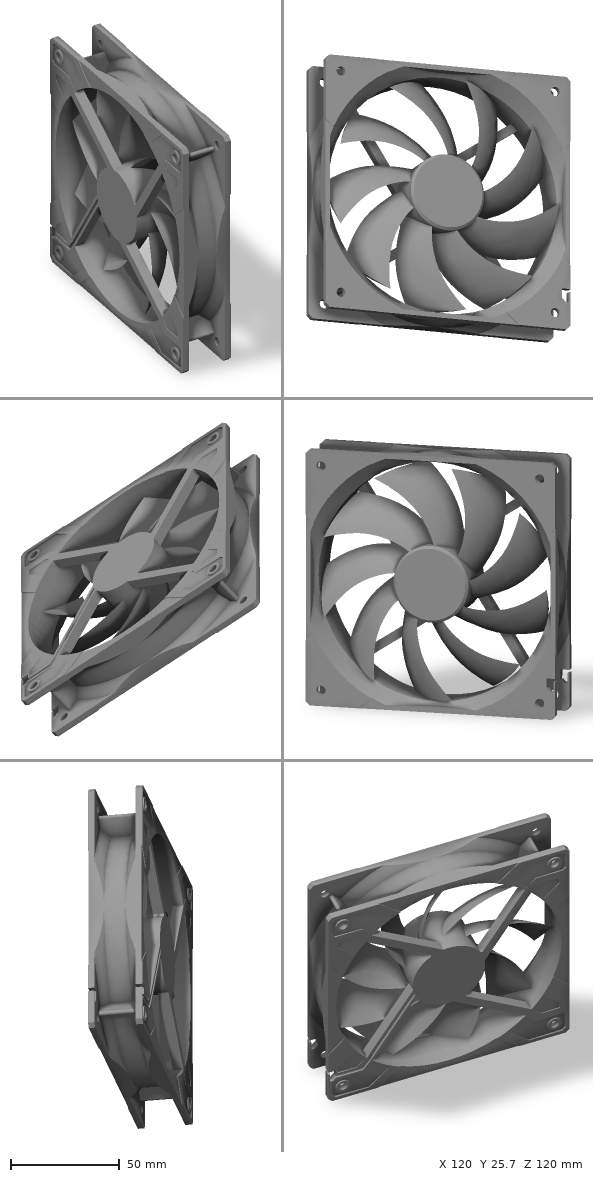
import cadquery as cq
import math

side = 120.0
half = side / 2
depth = 25.7
front = -depth / 2
rotor_back = depth / 2
frame_back = 12.6
corner_chamfer = 1.9
flange_inner = 9.6
band_radius = half
band_half_width = 5.0
collar_radius = 64.3

bore_radius = 56.0
flare_radius = 61.9
flare_flat = 57.7

diagonal_angle = 135
web_width = 2.2
web_length = 17.2
web_tip_radius = 69.5
hole_offset = 52.5
hole_radius = 2.2
boss_radius = 3.6

side_relief_depth = 0.4
top_relief_rim = (-34.8, half)
top_relief_bore = (-24.1, 50.6)
left_relief_rim = (-half, 29.4)
left_relief_bore = (-52.0, 21.6)

panel_slope = 0.04
panel_edge = 58.1
panel_corner_chamfer = 1.7
panel_lower_edge = 46.8
panel_lower_chamfer = 1.5
panel_top_bend_x = -39.7
panel_lower_bend_x = -43.1
panel_bore_points = [(-28.2, 47.5), (-36.7, 40.5)]
small_panel_outline = [(-55.1, 42.7), (-45.8, 42.7), (-39.2, 36.4), (-45.8, 30.7), (-55.1, 39.1)]

hub_radius = 18.0
stator_thickness = 5.0
stator_back = front + stator_thickness
spoke_width = 4.2
spoke_fillet = 1.0
first_spoke_angle = 57.0
spoke_offsets = [11.3, 11.3, 11.3, 11.8]
cable_spoke = 2

notch_floor_x = -55.8
notch_top = -40.7
notch_mouth = -42.1
notch_bottom = -46.9
notch_chamfer = 1.8
lip_thickness = 0.8
groove_width = 1.5
groove_depth = 1.2
groove_z = -44.8
groove_bend_x = -43.1
groove_offset = 11.2

rotor_chamfer = 1.2
blade_count = 9
blade_tip_radius = 55.2
blade_front = -5.3
blade_back = 10.2
front_face_bulge = 1.2
back_face_bulge = 2.6
blade_stations = [
    (16.2, 14.0, -26.0),
    (19.2, 7.0, -28.5),
    (24.0, -3.0, -33.0),
    (31.2, -12.5, -39.5),
    (38.4, -20.3, -45.8),
    (45.6, -27.7, -52.3),
    (52.8, -34.4, -58.3),
    (57.6, -38.7, -62.5),
]


def plane_at(y):
    """A sketch plane square to the fan axis, drawn in X and Z."""
    return cq.Workplane("XZ", origin=(0, y, 0))


def prism(points, y_from, y_to):
    """A polygon in X and Z, extruded along Y."""
    return plane_at(y_from).polyline(points).close().extrude(y_from - y_to)


def disc(radius, y_from, y_to, x=0, z=0):
    """A cylinder along Y."""
    return plane_at(y_from).center(x, z).circle(radius).extrude(y_from - y_to)


def turned(profile):
    """A profile of radius and Y, revolved about the fan axis."""
    return cq.Workplane("XY").polyline(profile).close().revolve(360, (0, 0, 0), (0, 1, 0))


def spun(shape, angle):
    """The shape turned about the fan axis, from +X towards +Z."""
    return shape.rotate((0, 0, 0), (0, 1, 0), -angle)


def on_corners(shape):
    """The shape and its mirror images in all four corners."""
    pair = shape.union(shape.mirror("YZ"))
    return pair.union(pair.mirror("XY"))


def square_block(y_from, y_to):
    block = plane_at(y_from).rect(side, side).extrude(y_from - y_to)
    return block.edges("|Y").chamfer(corner_chamfer)




def housing():
    duct = turned([
        (0, -flange_inner),
        (collar_radius, -flange_inner),
        (band_radius, -band_half_width),
        (band_radius, band_half_width),
        (collar_radius, flange_inner),
        (0, flange_inner),
    ])
    body = duct.intersect(square_block(-flange_inner, flange_inner))
    body = body.union(square_block(front, -flange_inner))
    return body.union(square_block(flange_inner, frame_back))


def corner_webs():
    """Round-ended walls between the flanges, along the diagonals."""
    web = (
        plane_at(-flange_inner)
        .center(web_tip_radius + web_width / 2 - web_length / 2, 0)
        .slot2D(web_length, web_width)
        .extrude(-2 * flange_inner)
    )
    return on_corners(spun(web, diagonal_angle))


def bore():
    flare = turned([
        (0, band_half_width),
        (bore_radius, band_half_width),
        (flare_radius, frame_back),
        (0, frame_back),
    ])
    flats = plane_at(0).rect(2 * flare_flat, 2 * flare_flat).extrude(-frame_back)
    return disc(bore_radius, front, frame_back).union(flare.intersect(flats))


def side_reliefs(y_from, y_to):
    """Shallow steps in the middle of the four sides."""

    def mirrored_x(point):
        return (-point[0], point[1])

    def mirrored_z(point):
        return (point[0], -point[1])

    top = prism(
        [top_relief_rim, mirrored_x(top_relief_rim), mirrored_x(top_relief_bore), top_relief_bore],
        y_from, y_to)
    left = prism(
        [left_relief_rim, mirrored_z(left_relief_rim), mirrored_z(left_relief_bore), left_relief_bore],
        y_from, y_to)
    return top.union(top.mirror("XY")).union(left).union(left.mirror("YZ"))


def corner_panels():
    """Panels in the front face, sunk along a cone about the fan axis; the screw bosses stay full height."""
    outline = [
        (-panel_edge + panel_corner_chamfer, panel_edge),
        (panel_top_bend_x, panel_edge),
        *panel_bore_points,
        (panel_lower_bend_x, panel_lower_edge),
        (-panel_edge + panel_lower_chamfer, panel_lower_edge),
        (-panel_edge, panel_lower_edge + panel_lower_chamfer),
        (-panel_edge, panel_edge - panel_corner_chamfer),
    ]
    panels = prism(outline, front, 0).union(prism(small_panel_outline, front, 0))
    boss = disc(boss_radius, front, 0, -hole_offset, hole_offset)
    cone_depth = panel_slope * (side - bore_radius)
    cone = turned([(bore_radius, front), (side, front), (side, front + cone_depth)])
    return on_corners(panels.cut(boss)).intersect(cone)


def screw_holes():
    return on_corners(disc(hole_radius, front, frame_back, -hole_offset, hole_offset))


def stator():
    """The disc that carries the motor, with spokes and a fillet in each sharp corner beside them."""
    body = disc(hub_radius, front, stator_back)
    sharp_corners = []
    for index, offset in enumerate(spoke_offsets):
        angle = first_spoke_angle + 90 * index
        near_edge = -offset + spoke_width / 2
        far_edge = -offset - spoke_width / 2
        length = math.sqrt(bore_radius**2 - near_edge**2)
        outline = [(0, far_edge), (length, far_edge), (length, near_edge), (0, near_edge)]
        spoke = prism(outline, front, stator_back)
        body = body.union(spun(spoke, angle))
        corner = cq.Vertex.makeVertex(
            math.sqrt(hub_radius**2 - near_edge**2), (front + stator_back) / 2, near_edge)
        sharp_corners.append(spun(corner, angle))
    for corner in sharp_corners:
        nearest = cq.selectors.NearestToPointSelector(corner.toTuple())
        body = body.edges("|Y").edges(nearest).fillet(spoke_fillet)
    return body


def cable_notch():
    """A hooked pocket: the lip left at the outer edge keeps the cable in."""
    outside_x = -half - lip_thickness
    lip_x = -half + lip_thickness
    outline = [
        (outside_x, notch_top),
        (notch_floor_x, notch_top),
        (notch_floor_x, notch_bottom + notch_chamfer),
        (notch_floor_x - notch_chamfer, notch_bottom),
        (lip_x, notch_bottom),
        (lip_x, notch_mouth),
        (outside_x, notch_mouth),
    ]
    return prism(outline, front, frame_back)


def cable_groove():
    """The cable channel from the notch, along one spoke, up to the stator disc."""
    angle = math.radians(first_spoke_angle + 90 * cable_spoke)

    def on_spoke(distance):
        x = distance * math.cos(angle) + groove_offset * math.sin(angle)
        z = distance * math.sin(angle) - groove_offset * math.cos(angle)
        return (x, z)

    path = [
        (notch_floor_x, groove_z),
        (groove_bend_x, groove_z),
        on_spoke(bore_radius),
        on_spoke(hub_radius / 2),
    ]
    groove = cq.Workplane("XZ")
    for (x_from, z_from), (x_to, z_to) in zip(path, path[1:]):
        length = math.hypot(x_to - x_from, z_to - z_from)
        direction = math.degrees(math.atan2(z_to - z_from, x_to - x_from))
        stretch = (
            plane_at(front)
            .center((x_from + x_to) / 2, (z_from + z_to) / 2)
            .slot2D(length + groove_width, groove_width, direction)
            .extrude(-groove_depth)
        )
        groove = groove.add(stretch)
    return groove.combine().cut(disc(hub_radius, front, stator_back))


def make_frame():
    body = housing().union(corner_webs()).cut(bore()).union(stator())
    body = body.cut(side_reliefs(front, front + side_relief_depth))
    body = body.cut(side_reliefs(frame_back - side_relief_depth, frame_back))
    body = body.cut(corner_panels()).cut(screw_holes())
    return body.cut(cable_notch()).cut(cable_groove())




def blade_section(radius, front_angle, back_angle):
    """A thin crescent, square to the radius, bowed towards the back."""

    def edge_point(angle, y):
        return cq.Vector(radius * math.cos(angle), y, radius * math.sin(angle))

    front_turn = math.radians(front_angle)
    back_turn = math.radians(back_angle)
    leading = edge_point(front_turn, blade_front)
    trailing = edge_point(back_turn, blade_back)
    middle_turn = (front_turn + back_turn) / 2
    outward = cq.Vector(math.cos(middle_turn), 0, math.sin(middle_turn))
    bow = outward.cross(trailing - leading).normalized()
    center = (leading + trailing) / 2
    back_face = cq.Edge.makeThreePointArc(leading, center + bow * back_face_bulge, trailing)
    front_face = cq.Edge.makeThreePointArc(trailing, center + bow * front_face_bulge, leading)
    return cq.Wire.assembleEdges([back_face, front_face])


def make_blade():
    sections = [blade_section(*station) for station in blade_stations]
    blade = cq.Workplane(cq.Solid.makeLoft(sections))
    return blade.intersect(disc(blade_tip_radius, stator_back, rotor_back))


def make_rotor():
    """The motor cup behind the stator disc, with its blades."""
    body = disc(hub_radius, stator_back, rotor_back).faces(">Y").edges().chamfer(rotor_chamfer)
    blade = make_blade()
    for index in range(blade_count):
        body = body.union(spun(blade, index * 360 / blade_count))
    return body


frame = make_frame().solids()
rotor = make_rotor().solids()
result = cq.Compound.makeCompound([frame.val(), rotor.val()])